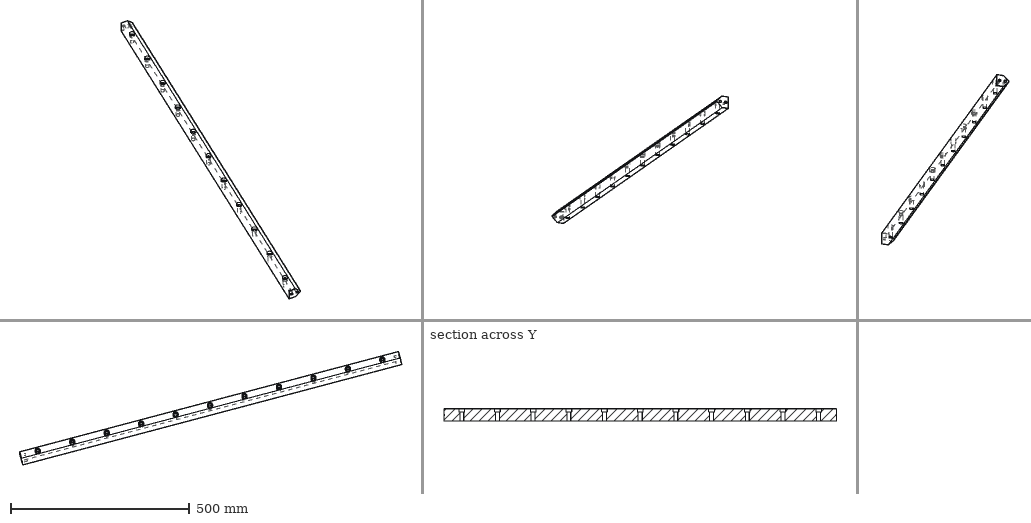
import cadquery as cq

length = 1100.0
depth = 35.5
height = 35.0
back_y = -depth / 2
tip_y = depth / 2

tip_flat = 3.0
v_run = (height - tip_flat) / 2
back_radius = 1.5

end_chamfer = 1.0

mount_pitch = 100.0
mount_count = 11
mount_diameter = 10.0
counterbore_diameter = 15.0
counterbore_depth = 9.0
mount_y = back_y + 11.0

tap_diameter = 5.19
tap_countersink_diameter = 7.2
tap_countersink_angle = 90.0
tap_depth = 15.0
tap_y_positions = (back_y + 8.5, tip_y - 10.0)


def make_bar():
    """Five-sided bar with its flattened V tip towards +Y."""
    profile = [
        (back_y, -height / 2),
        (tip_y - v_run, -height / 2),
        (tip_y, -tip_flat / 2),
        (tip_y, tip_flat / 2),
        (tip_y - v_run, height / 2),
        (back_y, height / 2),
    ]
    bar = cq.Workplane("YZ").polyline(profile).close().extrude(length / 2, both=True)
    bar = bar.faces("<Y").edges("|X").fillet(back_radius)
    return bar.faces("|X").edges("|Y").chamfer(end_chamfer)


def cut_mounting_holes(bar):
    """Counterbored through holes, evenly spaced and centred on the length."""
    return (
        bar.faces(">Z")
        .workplane(origin=(0, mount_y, height / 2))
        .rarray(mount_pitch, 1, mount_count, 1)
        .cboreHole(mount_diameter, counterbore_diameter, counterbore_depth)
    )


def cut_end_holes(bar):
    """Blind countersunk tapping holes, the same pair in each end."""
    for side in (-1, 1):
        end_plane = cq.Plane(origin=(side * length / 2, 0, 0), xDir=(0, 1, 0), normal=(side, 0, 0))
        bar = (
            cq.Workplane(end_plane)
            .add(bar.val())
            .pushPoints([(y, 0) for y in tap_y_positions])
            .cskHole(tap_diameter, tap_countersink_diameter, tap_countersink_angle, tap_depth)
        )
    return bar


result = cut_end_holes(cut_mounting_holes(make_bar())).solids()